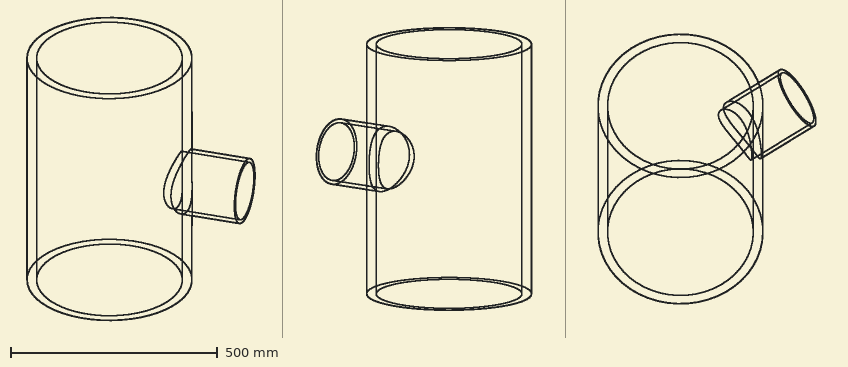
import cadquery as cq

main_length = 617.0
main_diameter = 400.0
main_wall = 23.5

branch_diameter = 160.0
branch_reach = 345.0
branch_wall = main_wall * branch_diameter / main_diameter

main_bore = main_diameter - 2 * main_wall
branch_bore = branch_diameter - 2 * branch_wall


def main_cylinder(diameter):
    """Cylinder over the full height of the main pipe."""
    return cq.Workplane("XY").circle(diameter / 2).extrude(main_length)


def branch_cylinder(diameter):
    """Cylinder from the main axis to the open end of the branch."""
    mid_plane = cq.Workplane("YZ", origin=(0, 0, main_length / 2))
    return mid_plane.circle(diameter / 2).extrude(branch_reach)


body = main_cylinder(main_diameter).union(branch_cylinder(branch_diameter))
result = body.cut(main_cylinder(main_bore)).cut(branch_cylinder(branch_bore))